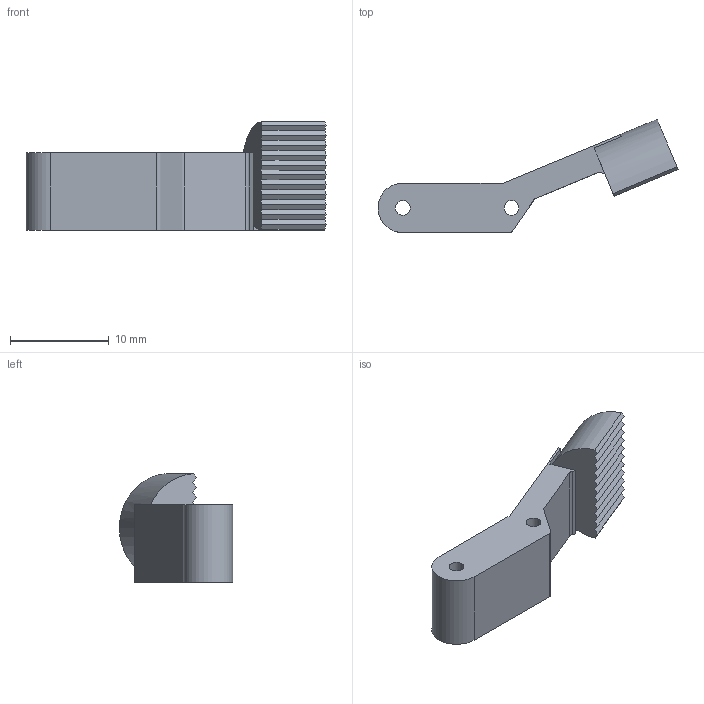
import cadquery as cq
import math

BODY_HALF_WIDTH = 2.5
BODY_HEIGHT = 7.85
HOLE_DIAMETER = 1.5
HOLE_SPACING = 11.0

ARM_ANGLE = 22.5
ARM_WIDTH = 2.68
ARM_LENGTH = 12.85
ELBOW_X = 10.15
SHOULDER_ANGLE = 55.5
EDGE_RADIUS = 0.5

PAD_RADIUS = 5.5
PAD_AXIS_Z = PAD_RADIUS
PAD_LENGTH = 7.0
PAD_START = 9.87

FLARE_SIZE = 0.45
WALL_THICKNESS = 0.22

TOOTH_COUNT = 11
TOOTH_PITCH = 1.0
TOOTH_DEPTH = 0.35
FIRST_PEAK_Z = 0.6


def place_on_arm(shape):
    """Move a shape from the arm frame to the part's own axes."""
    return shape.rotate((0, 0, 0), (0, 0, 1), ARM_ANGLE).translate((ELBOW_X, BODY_HALF_WIDTH, 0))


def arm_point(along, across):
    """Return the part's (x, y) of a point given in the arm frame."""
    angle = math.radians(ARM_ANGLE)
    x = ELBOW_X + along * math.cos(angle) - across * math.sin(angle)
    y = BODY_HALF_WIDTH + along * math.sin(angle) + across * math.cos(angle)
    return (x, y)


def shoulder_corner():
    """Return where the sloped shoulder meets the lower side of the arm."""
    arm_slope = math.tan(math.radians(ARM_ANGLE))
    shoulder_slope = math.tan(math.radians(SHOULDER_ANGLE))
    base_x, base_y = arm_point(0, -ARM_WIDTH)
    arm_y = base_y + arm_slope * (HOLE_SPACING - base_x)
    rise = arm_y + BODY_HALF_WIDTH
    run = rise / (shoulder_slope - arm_slope)
    return (HOLE_SPACING + run, -BODY_HALF_WIDTH + shoulder_slope * run)


def make_lever():
    """Body and arm as one outline, with the shoulder and flare edges rounded."""
    shoulder_foot = (HOLE_SPACING, -BODY_HALF_WIDTH)
    shoulder_top = shoulder_corner()
    flare_start = arm_point(PAD_START - FLARE_SIZE, -ARM_WIDTH)
    lever = (
        cq.Workplane("XY")
        .moveTo(0, -BODY_HALF_WIDTH)
        .lineTo(*shoulder_foot)
        .lineTo(*shoulder_top)
        .lineTo(*flare_start)
        .lineTo(*arm_point(PAD_START, -ARM_WIDTH - FLARE_SIZE))
        .lineTo(*arm_point(PAD_START, -ARM_WIDTH))
        .lineTo(*arm_point(ARM_LENGTH, -ARM_WIDTH))
        .lineTo(*arm_point(ARM_LENGTH, 0))
        .lineTo(ELBOW_X, BODY_HALF_WIDTH)
        .lineTo(0, BODY_HALF_WIDTH)
        .threePointArc((-BODY_HALF_WIDTH, 0), (0, -BODY_HALF_WIDTH))
        .close()
        .extrude(BODY_HEIGHT)
    )
    for x, y in (shoulder_foot, shoulder_top, flare_start):
        nearest = cq.selectors.NearestToPointSelector((x, y, BODY_HEIGHT / 2))
        lever = lever.edges("|Z").edges(nearest).fillet(EDGE_RADIUS)
    return lever


def make_pad_recess():
    """Notch in the top of the arm above the pad axis, leaving only the outer wall."""
    recess_width = 2 * ARM_WIDTH
    return (
        cq.Workplane("XY")
        .box(PAD_LENGTH, recess_width, BODY_HEIGHT, centered=False)
        .translate((PAD_START, -WALL_THICKNESS - recess_width, PAD_AXIS_Z))
    )


def make_tooth_gaps():
    """V-shaped gaps between the tooth peaks, including one beyond each end peak."""
    face_y = -PAD_RADIUS
    gaps = cq.Workplane("YZ", origin=(PAD_START, 0, 0))
    for index in range(TOOTH_COUNT + 1):
        upper_peak_z = FIRST_PEAK_Z + index * TOOTH_PITCH
        gaps = (
            gaps.moveTo(face_y, upper_peak_z - TOOTH_PITCH)
            .lineTo(face_y + TOOTH_DEPTH, upper_peak_z - TOOTH_PITCH / 2)
            .lineTo(face_y, upper_peak_z)
            .close()
        )
    return gaps.extrude(PAD_LENGTH)


def make_pad():
    """Half cylinder along the arm; the tooth peaks lie in the plane of its axis."""
    half_cylinder = (
        cq.Workplane("YZ", origin=(PAD_START, -PAD_RADIUS, PAD_AXIS_Z))
        .moveTo(0, -PAD_RADIUS)
        .threePointArc((PAD_RADIUS, 0), (0, PAD_RADIUS))
        .close()
        .extrude(PAD_LENGTH)
    )
    return half_cylinder.cut(make_tooth_gaps())


def make_pivot_holes():
    """Two through holes along the body's centre line."""
    return (
        cq.Workplane("XY")
        .pushPoints([(0, 0), (HOLE_SPACING, 0)])
        .circle(HOLE_DIAMETER / 2)
        .extrude(BODY_HEIGHT)
    )


lever = make_lever().cut(place_on_arm(make_pad_recess()))
result = lever.union(place_on_arm(make_pad())).cut(make_pivot_holes())